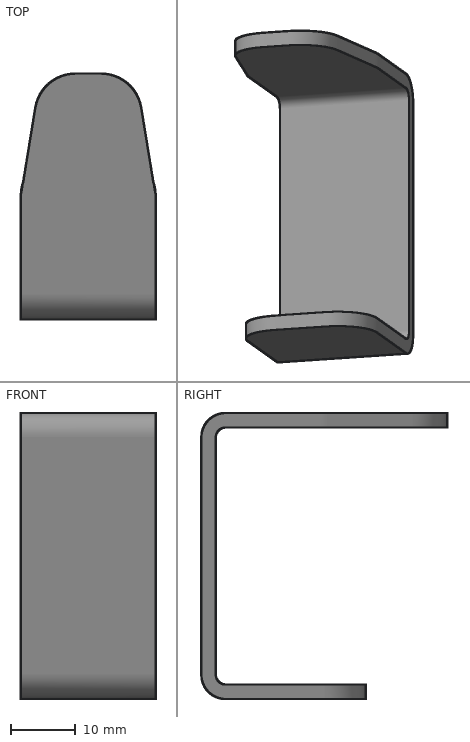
import cadquery as cq

width = 20.93
height = 44.32
top_leg_length = 38.1
bottom_leg_length = 25.5

thickness = 2.286
bend_inner_radius = 1.524
bend_outer_radius = bend_inner_radius + thickness

corner_radius = 6.35
taper_start = 19.0
tip_width = 14.7

half_width = width / 2


def rounded_block(offset, bend_radius):
    """Full-width block set in from the outer faces by offset, rounded along its two web edges."""
    return (
        cq.Workplane("XY")
        .box(width, top_leg_length, height - 2 * offset, centered=(True, False, False))
        .translate((0, offset, offset))
        .edges("|X and <Y")
        .fillet(bend_radius)
    )


def bent_strip():
    """C section of constant thickness with both legs at the length of the longer one."""
    return rounded_block(0, bend_outer_radius).cut(rounded_block(thickness, bend_inner_radius))


def top_leg_outline():
    """Plan of the top leg: straight sides, then a taper to a rounded tip."""
    return (
        cq.Workplane("XY")
        .moveTo(-half_width, 0)
        .lineTo(half_width, 0)
        .lineTo(half_width, taper_start)
        .lineTo(tip_width / 2, top_leg_length)
        .lineTo(-tip_width / 2, top_leg_length)
        .lineTo(-half_width, taper_start)
        .close()
        .extrude(height)
        .edges("|Z and (not <Y)")
        .fillet(corner_radius)
    )


def bottom_leg_outline():
    """Plan of the bottom leg: a rectangle with rounded free corners."""
    return (
        cq.Workplane("XY")
        .box(width, bottom_leg_length, height, centered=(True, False, False))
        .edges("|Z and >Y")
        .fillet(corner_radius)
    )


def leg_trim():
    """Space the part may fill: the top leg's plan above mid height, the bottom leg's below it."""
    lower_half = cq.Workplane("XY").box(width, top_leg_length, height / 2, centered=(True, False, False))
    upper_half = lower_half.translate((0, 0, height / 2))
    top_space = top_leg_outline().intersect(upper_half)
    bottom_space = bottom_leg_outline().intersect(lower_half)
    return top_space.union(bottom_space)


result = bent_strip().intersect(leg_trim())